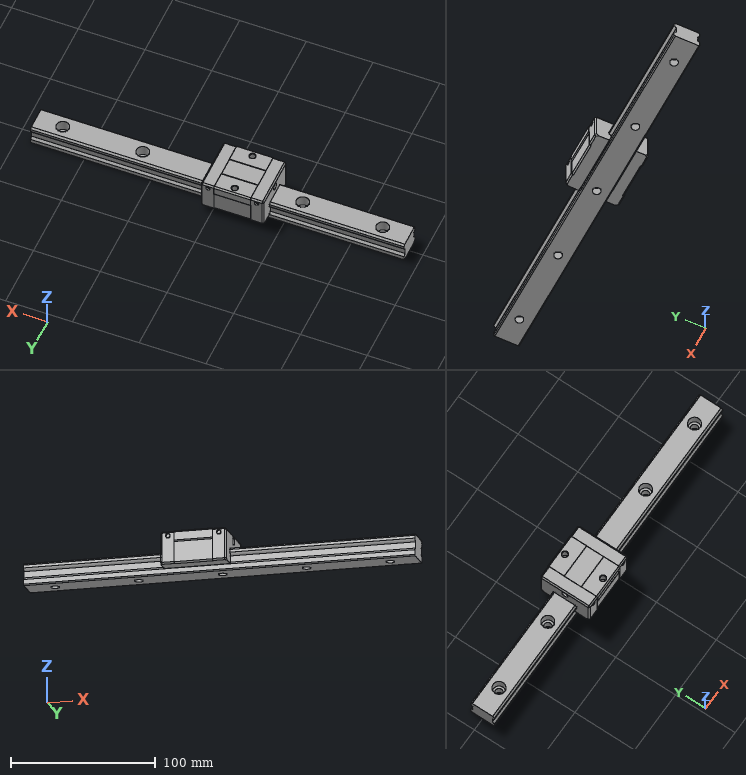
import cadquery as cq

rail_length = 280.0
rail_width = 20.0
rail_height = 16.0
rail_top_chamfer = 1.5
rail_base_chamfer = 0.8
groove_depth = 1.7
groove_base_z = 4.2
groove_floor_low_z = 6.0
groove_floor_high_z = 10.5
groove_shoulder_depth = 0.8
groove_shoulder_z = 11.2
groove_top_z = 12.5

rail_hole_pitch = 60.0
rail_hole_count = 5
rail_bore_diameter = 6.0
rail_counterbore_diameter = 9.5
rail_counterbore_depth = 8.5

carriage_x = -15.7
carriage_length = 47.0
carriage_width = 42.0
carriage_top_z = 28.0
carriage_bottom_z = 4.5
cap_length = 9.8
cap_inset = 0.3
cap_top_inset = 0.3
cap_width = carriage_width - 2 * cap_inset
cap_top_z = carriage_top_z - cap_top_inset
cap_edge_chamfer = 1.0
cap_face_chamfer = 1.0

block_edge_chamfer = 1.0
block_length = carriage_length - 2 * cap_length
side_recess_depth = 0.8
side_recess_top_z = 21.0
side_recess_slope_height = 0.8
top_channel_width = 14.3
top_channel_depth = 0.5

thread_spacing = 32.0
thread_mouth_diameter = 5.0
thread_diameter = 4.2
thread_depth = 7.0
grease_diameter = 5.0
grease_z = 23.2
grease_depth = 2.8
side_port_diameter = 3.0
side_port_spacing = 36.5
side_port_z = 24.5
side_port_depth = 1.5


def prism_along_x(points, length, center_x=0):
    """Extrude a closed outline of (y, z) points along X, centred on center_x."""
    return cq.Workplane("YZ", origin=(center_x - length / 2, 0, 0)).polyline(points).close().extrude(length)


def mirrored_outline(right_half):
    """Close a right-hand half outline, listed from bottom to top, with its mirror image in Y."""
    return right_half + [(-y, z) for y, z in reversed(right_half)]


def rail_blank(length, center_x=0):
    """Rail without its holes, also used to cut the matching slot through the carriage."""
    half_width = rail_width / 2
    waist = half_width - groove_depth
    right_half = [
        (half_width - rail_base_chamfer, 0),
        (half_width, rail_base_chamfer),
        (half_width, groove_base_z),
        (waist, groove_floor_low_z),
        (waist, groove_floor_high_z),
        (half_width - groove_shoulder_depth, groove_shoulder_z),
        (half_width, groove_top_z),
        (half_width, rail_height - rail_top_chamfer),
        (half_width - rail_top_chamfer, rail_height),
    ]
    return prism_along_x(mirrored_outline(right_half), length, center_x)


def make_rail():
    """Rail with a row of counterbored mounting holes."""
    first_hole_x = -rail_hole_pitch * (rail_hole_count - 1) / 2
    hole_places = [(first_hole_x + i * rail_hole_pitch, 0) for i in range(rail_hole_count)]
    return (
        rail_blank(rail_length)
        .faces(">Z")
        .workplane(origin=(0, 0, rail_height))
        .pushPoints(hole_places)
        .cboreHole(rail_bore_diameter, rail_counterbore_diameter, rail_counterbore_depth)
    )


def end_cap(side):
    """End cap on the -X (side = -1) or +X (side = 1) end, its outer face chamfered except at the bottom."""
    center_x = carriage_x + side * (carriage_length - cap_length) / 2
    outer_face = "<X" if side < 0 else ">X"
    return (
        cq.Workplane("XY", origin=(center_x, 0, carriage_bottom_z))
        .box(cap_length, cap_width, cap_top_z - carriage_bottom_z, centered=(True, True, False))
        .edges("|X")
        .chamfer(cap_edge_chamfer)
        .faces(outer_face)
        .edges("not <Z")
        .chamfer(cap_face_chamfer)
    )


def middle_block():
    """Block with a shallow channel along its top and sides that step in below a sloped shoulder."""
    half_width = carriage_width / 2
    recessed = half_width - side_recess_depth
    half_channel = top_channel_width / 2
    right_half = [
        (recessed - block_edge_chamfer, carriage_bottom_z),
        (recessed, carriage_bottom_z + block_edge_chamfer),
        (recessed, side_recess_top_z - side_recess_slope_height),
        (half_width, side_recess_top_z),
        (half_width, carriage_top_z - block_edge_chamfer),
        (half_width - block_edge_chamfer, carriage_top_z),
        (half_channel, carriage_top_z),
        (half_channel, carriage_top_z - top_channel_depth),
    ]
    return prism_along_x(mirrored_outline(right_half), block_length, carriage_x)


def threaded_hole(side):
    """Blind mounting hole in the top of the middle block, with a 45 degree cone at its mouth."""
    mouth_plane = cq.Workplane("XY", origin=(carriage_x, side * thread_spacing / 2, carriage_top_z))
    cone_depth = (thread_mouth_diameter - thread_diameter) / 2
    cone = (
        mouth_plane.circle(thread_mouth_diameter / 2)
        .workplane(offset=-cone_depth)
        .circle(thread_diameter / 2)
        .loft()
    )
    return mouth_plane.circle(thread_diameter / 2).extrude(-thread_depth).union(cone)


def grease_hole(side):
    """Blind hole in the end face of a cap."""
    end_x = carriage_x + side * carriage_length / 2
    end_face = cq.Workplane("YZ", origin=(end_x, 0, grease_z))
    return end_face.circle(grease_diameter / 2).extrude(-side * grease_depth)


def side_port(end, side):
    """Small blind hole in the flank of a cap."""
    x = carriage_x + end * side_port_spacing / 2
    flank = cq.Workplane("XZ", origin=(x, side * cap_width / 2, side_port_z))
    return flank.circle(side_port_diameter / 2).extrude(side * side_port_depth)


def make_carriage():
    """Middle block and end caps as one body, slotted for the rail and drilled."""
    carriage = middle_block().union(end_cap(-1)).union(end_cap(1))
    carriage = carriage.cut(rail_blank(carriage_length, carriage_x))
    for side in (-1, 1):
        carriage = carriage.cut(threaded_hole(side))
        carriage = carriage.cut(grease_hole(side))
        for end in (-1, 1):
            carriage = carriage.cut(side_port(end, side))
    return carriage


rail = make_rail()
carriage = make_carriage()
result = cq.Compound.makeCompound([rail.val(), carriage.val()])